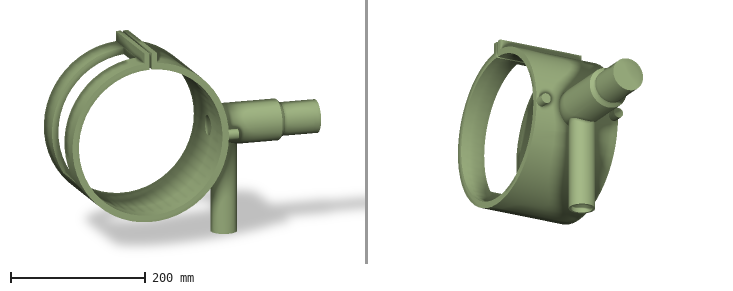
import cadquery as cq


ring_width = 138.0
ring_outer_radius = 245.0 / 2
ring_wall = 10.0
ring_inner_radius = ring_outer_radius - ring_wall

split_gap = 3.5
flange_thickness = 7.5
flange_top = 137.5
flange_outer_y = split_gap / 2 + flange_thickness

window_width = 59.7
window_bottom = -63.0
window_back_y = -10.0

overall_length = 403.5
cap_end_y = overall_length - ring_outer_radius
cap_length = 10.0
nozzle_end_y = cap_end_y - cap_length
nozzle_radius = 50.5 / 2
main_radius = 62.5 / 2
shoulder_length = main_radius - nozzle_radius
shoulder_start_y = 218.5
bore_radius = 30.3 / 2

branch_y = 136.8
branch_radius = 19.8
branch_bore_radius = 16.0
branch_bottom = -164.5

peg_radius = 7.5
peg_end_y = 138.5
peg_x = ring_width / 2 - peg_radius


def x_cylinder(radius):
    """Cylinder along X, as long as the ring is wide."""
    return cq.Workplane("YZ").circle(radius).extrude(ring_width / 2, both=True)


def y_cylinder(radius, end_y, x=0):
    """Cylinder along +Y starting at the middle of the ring."""
    return cq.Workplane("XZ").center(x, 0).circle(radius).extrude(-end_y)


def z_cylinder(radius):
    """Vertical cylinder on the branch axis, from the main axis down."""
    return cq.Workplane("XY").center(0, branch_y).circle(radius).extrude(branch_bottom)


def make_ring_outside():
    """Solid disc with the block that becomes the two flanges."""
    flange_block = (
        cq.Workplane("XY")
        .box(ring_width, 2 * flange_outer_y, flange_top, centered=(True, True, False))
    )
    return x_cylinder(ring_outer_radius).union(flange_block)


def make_main_pipe():
    """Main pipe with a conical shoulder down to the nozzle."""
    shoulder_end_y = shoulder_start_y + shoulder_length
    profile = (
        cq.Workplane("XY")
        .polyline([
            (0, 0),
            (main_radius, 0),
            (main_radius, shoulder_start_y),
            (nozzle_radius, shoulder_end_y),
            (nozzle_radius, nozzle_end_y),
            (0, nozzle_end_y),
        ])
        .close()
    )
    return profile.revolve(360, (0, 0, 0), (0, 1, 0))


def make_split():
    """Slot between the flanges, through the top of the ring."""
    return cq.Workplane("XY").box(ring_width, split_gap, flange_top, centered=(True, True, False))


def make_window():
    """Front opening from just ahead of the flange face down to a level sill."""
    return (
        cq.Workplane("XZ", origin=(0, window_back_y, window_bottom))
        .box(window_width, flange_top - window_bottom, ring_outer_radius, centered=(True, False, False))
    )


def make_housing():
    """Ring, flanges, pegs and both pipes as one solid."""
    body = make_ring_outside().union(make_main_pipe()).union(z_cylinder(branch_radius))
    for side in (-1, 1):
        body = body.union(y_cylinder(peg_radius, peg_end_y, side * peg_x))
    body = body.cut(x_cylinder(ring_inner_radius)).cut(make_split()).cut(make_window())
    return body.cut(y_cylinder(bore_radius, nozzle_end_y)).cut(z_cylinder(branch_bore_radius))


def make_end_cap():
    """Plain disc closing the open end of the nozzle."""
    return cq.Workplane("XZ", origin=(0, nozzle_end_y, 0)).circle(nozzle_radius).extrude(-cap_length)


housing = make_housing()
end_cap = make_end_cap()
result = cq.Compound.makeCompound([housing.val(), end_cap.val()])